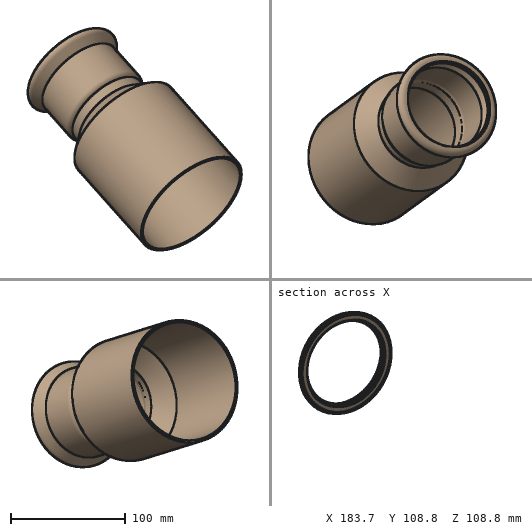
import cadquery as cq
import math

WALL = 2.0
LENGTH = 183.7

SOCKET_RADIUS = 40.2
NECK_RADIUS = 37.8
BODY_RADIUS = 54.4

BEAD_END = 16.2
SHOULDER_START = 53.3
SHOULDER_END = 58.0
CONE_START = 68.1
CONE_END = 83.8

BEAD_ARC_RADIUS = 5.5
BEAD_CENTER_RADIUS = 41.5
MOUTH_RADIUS = 39.3

RING_SPLIT = 3.9
GUARD_BORE = 38.4
SEAL_END = 6.5
SEAL_BORE = 40.4
BEVEL_LENGTH = 1.3
BEVEL_DEPTH = 0.5

SHOULDER_BORE = 36.7

SOCKET_BORE = SOCKET_RADIUS - WALL
NECK_BORE = NECK_RADIUS - WALL
BODY_BORE = BODY_RADIUS - WALL
POCKET_ARC_RADIUS = BEAD_ARC_RADIUS - WALL

flank_dx = BEAD_END - BEAD_ARC_RADIUS
flank_dr = SOCKET_RADIUS - BEAD_CENTER_RADIUS
FLANK_NORMAL = math.atan2(flank_dr, flank_dx) + math.acos(BEAD_ARC_RADIUS / math.hypot(flank_dx, flank_dr))

POCKET_END = BEAD_END - WALL * math.tan((math.pi / 2 - FLANK_NORMAL) / 2)
BEVEL_START = POCKET_END - BEVEL_DEPTH * math.tan(FLANK_NORMAL)

CONE_ANGLE = math.atan2(BODY_RADIUS - NECK_RADIUS, CONE_END - CONE_START)
CONE_SHIFT = WALL * math.tan(CONE_ANGLE / 2)


def bead_point(arc_radius, angle):
    """Point on an arc about the centre of the bead."""
    return (
        BEAD_ARC_RADIUS + arc_radius * math.cos(angle),
        BEAD_CENTER_RADIUS + arc_radius * math.sin(angle),
    )


def turned(profile):
    """Revolve a closed profile about the X axis."""
    return profile.close().revolve(360, (0, 0, 0), (1, 0, 0))


def make_housing():
    """Tube with a beaded socket, a neck, a cone and a wide plain end."""
    arc_middle = (math.pi + FLANK_NORMAL) / 2
    profile = (
        cq.Workplane("XY")
        .moveTo(0, MOUTH_RADIUS)
        .lineTo(0, BEAD_CENTER_RADIUS)
        .threePointArc(bead_point(BEAD_ARC_RADIUS, arc_middle), bead_point(BEAD_ARC_RADIUS, FLANK_NORMAL))
        .lineTo(BEAD_END, SOCKET_RADIUS)
        .lineTo(SHOULDER_START, SOCKET_RADIUS)
        .tangentArcPoint((SHOULDER_END, NECK_RADIUS), relative=False)
        .lineTo(CONE_START, NECK_RADIUS)
        .lineTo(CONE_END, BODY_RADIUS)
        .lineTo(LENGTH, BODY_RADIUS)
        .lineTo(LENGTH, BODY_BORE)
        .lineTo(CONE_END + CONE_SHIFT, BODY_BORE)
        .lineTo(CONE_START + CONE_SHIFT, NECK_BORE)
        .lineTo(SHOULDER_END, SHOULDER_BORE)
        .lineTo(SHOULDER_START, SOCKET_BORE)
        .lineTo(BEVEL_START + BEVEL_LENGTH, SOCKET_BORE)
        .lineTo(BEVEL_START, SOCKET_BORE + BEVEL_DEPTH)
        .lineTo(*bead_point(POCKET_ARC_RADIUS, FLANK_NORMAL))
        .threePointArc(bead_point(POCKET_ARC_RADIUS, arc_middle), bead_point(POCKET_ARC_RADIUS, math.pi))
        .lineTo(WALL, MOUTH_RADIUS)
    )
    return turned(profile)


def pocket_angle(x):
    """Angle on the pocket arc at an axial position."""
    return math.acos((x - BEAD_ARC_RADIUS) / POCKET_ARC_RADIUS)


def make_ring(start, end, bore):
    """Ring between two planes that fills the bead pocket out to its arc."""
    start_angle = pocket_angle(start)
    end_angle = pocket_angle(end)
    profile = (
        cq.Workplane("XY")
        .moveTo(start, bore)
        .lineTo(*bead_point(POCKET_ARC_RADIUS, start_angle))
        .threePointArc(
            bead_point(POCKET_ARC_RADIUS, (start_angle + end_angle) / 2),
            bead_point(POCKET_ARC_RADIUS, end_angle),
        )
        .lineTo(end, bore)
    )
    return turned(profile)


def make_guard_ring():
    """Front ring, set behind the mouth and standing slightly inside it."""
    return make_ring(WALL, RING_SPLIT, GUARD_BORE)


def make_seal():
    """Seal directly behind the guard ring."""
    return make_ring(RING_SPLIT, SEAL_END, SEAL_BORE)


housing = make_housing()
guard_ring = make_guard_ring()
seal = make_seal()

result = cq.Compound.makeCompound([housing.val(), guard_ring.val(), seal.val()])